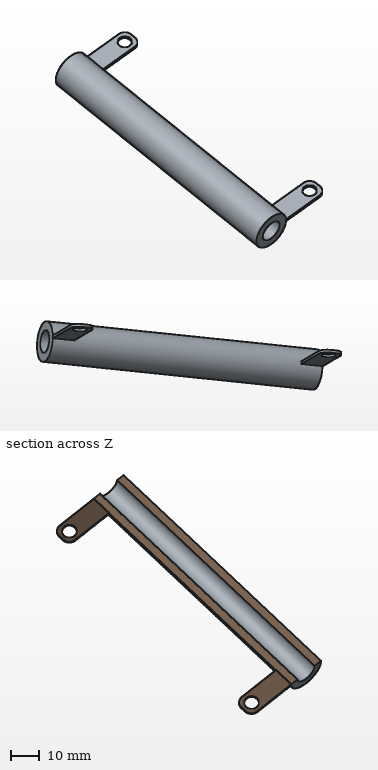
import cadquery as cq

tube_length = 102.0
tube_diameter = 14.3
bore_diameter = 8.0

overall_depth = 33.3
lug_width = 8.1
lug_thickness = 1.0
lug_corner_radius = 3.0
lug_hole_diameter = 5.0
lug_hole_setback = 4.0

tube_radius = tube_diameter / 2
lug_tip_y = overall_depth - tube_radius
lug_hole_y = lug_tip_y - lug_hole_setback
lug_offset_x = (tube_length - lug_width) / 2


def make_tube():
    """Plain tube with a through bore."""
    return (
        cq.Workplane("YZ", origin=(-tube_length / 2, 0, 0))
        .circle(tube_radius)
        .circle(bore_diameter / 2)
        .extrude(tube_length)
    )


def make_lug(center_x):
    """Lug with a hole and a rounded tip, its root fitted to the tube's outer surface."""
    lug = (
        cq.Workplane("XY", origin=(center_x, lug_tip_y / 2, -lug_thickness / 2))
        .rect(lug_width, lug_tip_y)
        .extrude(lug_thickness)
        .edges("|Z and >Y")
        .fillet(lug_corner_radius)
    )
    hole = (
        cq.Workplane("XY", origin=(center_x, lug_hole_y, -lug_thickness / 2))
        .circle(lug_hole_diameter / 2)
        .extrude(lug_thickness)
    )
    tube_envelope = (
        cq.Workplane("YZ", origin=(-tube_length / 2, 0, 0))
        .circle(tube_radius)
        .extrude(tube_length)
    )
    return lug.cut(hole).cut(tube_envelope)


tube = make_tube()
lugs = [make_lug(side * lug_offset_x) for side in (-1, 1)]

result = cq.Compound.makeCompound([tube.val(), *[lug.val() for lug in lugs]])